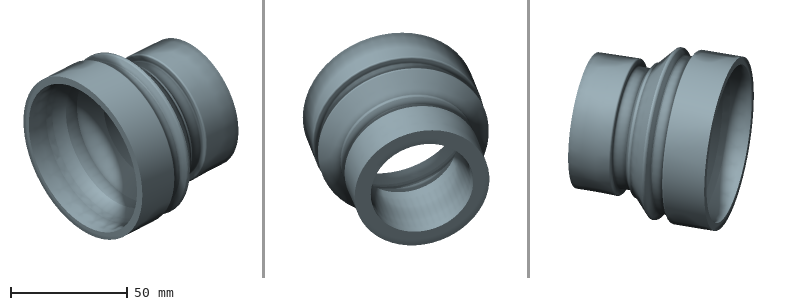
import cadquery as cq
import math

LENGTH = 63.5
WIDE_COLLAR_END = 19.05
WIDE_GROOVE_END = 24.7
RIDGE_END = 28.0
SMALL_RIDGE_START = 35.5
NARROW_GROOVE_START = 38.8
NARROW_COLLAR_START = LENGTH - WIDE_COLLAR_END

WIDE_COLLAR_RADIUS = 76.2 / 2
WIDE_GROOVE_RADIUS = 69.34 / 2
RIDGE_RADIUS = 75.44 / 2
SMALL_RIDGE_RADIUS = 59.56 / 2
NARROW_GROOVE_RADIUS = 53.34 / 2
NARROW_COLLAR_RADIUS = 60.1 / 2
NARROW_END_RADIUS = 59.56 / 2

FLANK_ANGLE = math.radians(55)
WIDE_FLANK_LENGTH = (RIDGE_RADIUS - WIDE_GROOVE_RADIUS) / math.tan(FLANK_ANGLE)
NARROW_FLANK_LENGTH = (SMALL_RIDGE_RADIUS - NARROW_GROOVE_RADIUS) / math.tan(FLANK_ANGLE)
RIDGE_START = WIDE_GROOVE_END + WIDE_FLANK_LENGTH
SMALL_RIDGE_END = NARROW_GROOVE_START - NARROW_FLANK_LENGTH

COLLAR_EDGE_ROUND = 0.75
GROOVE_ROOT_ROUND = 0.65
RIDGE_ROUND = 1.0

MOUTH_RADIUS = 69.34 / 2
MOUTH_END_RADIUS = 68.0 / 2
STEP_RADIUS = 61.37 / 2
BORE_RADIUS = 45.36 / 2
MOUTH_END = 11.1
STEP_START = 18.0
STEP_END = 24.4
BORE_START = 32.75
MOUTH_BLEND_ROUND = 8.0


def round_rims(body, radius, rims):
    """Round the circular edges given as (radius, station) pairs."""
    tolerance = 0.01

    def is_rim(edge):
        box = edge.BoundingBox()
        return any(
            abs(box.ymin - station) < tolerance
            and abs(box.ymax - station) < tolerance
            and abs(box.xmax - rim_radius) < tolerance
            for rim_radius, station in rims
        )

    edges = [edge for edge in body.edges("%CIRCLE").vals() if is_rim(edge)]
    return body.newObject(edges).fillet(radius)


def make_outer_body():
    """Solid of revolution with two grooved collars and two ridges between them."""
    body = (
        cq.Workplane("XY")
        .lineTo(WIDE_COLLAR_RADIUS, 0)
        .lineTo(WIDE_COLLAR_RADIUS, WIDE_COLLAR_END)
        .lineTo(WIDE_GROOVE_RADIUS, WIDE_COLLAR_END)
        .lineTo(WIDE_GROOVE_RADIUS, WIDE_GROOVE_END)
        .lineTo(RIDGE_RADIUS, RIDGE_START)
        .lineTo(RIDGE_RADIUS, RIDGE_END)
        .lineTo(SMALL_RIDGE_RADIUS, SMALL_RIDGE_START)
        .lineTo(SMALL_RIDGE_RADIUS, SMALL_RIDGE_END)
        .lineTo(NARROW_GROOVE_RADIUS, NARROW_GROOVE_START)
        .lineTo(NARROW_GROOVE_RADIUS, NARROW_COLLAR_START)
        .lineTo(NARROW_COLLAR_RADIUS, NARROW_COLLAR_START)
        .lineTo(NARROW_END_RADIUS, LENGTH)
        .lineTo(0, LENGTH)
        .close()
        .revolve(360, (0, 0, 0), (0, 1, 0))
    )
    collar_edges = [
        (WIDE_COLLAR_RADIUS, WIDE_COLLAR_END),
        (NARROW_COLLAR_RADIUS, NARROW_COLLAR_START),
    ]
    groove_roots = [
        (WIDE_GROOVE_RADIUS, WIDE_COLLAR_END),
        (WIDE_GROOVE_RADIUS, WIDE_GROOVE_END),
        (NARROW_GROOVE_RADIUS, NARROW_GROOVE_START),
        (NARROW_GROOVE_RADIUS, NARROW_COLLAR_START),
    ]
    ridge_edges = [
        (RIDGE_RADIUS, RIDGE_START),
        (SMALL_RIDGE_RADIUS, SMALL_RIDGE_END),
    ]
    body = round_rims(body, COLLAR_EDGE_ROUND, collar_edges)
    body = round_rims(body, GROOVE_ROOT_ROUND, groove_roots)
    return round_rims(body, RIDGE_ROUND, ridge_edges)


def make_bore():
    """Through bore: tapered mouth blending into a cone, a step, a second cone, a straight bore."""
    bore = (
        cq.Workplane("XY")
        .lineTo(MOUTH_RADIUS, 0)
        .lineTo(MOUTH_END_RADIUS, MOUTH_END)
        .lineTo(STEP_RADIUS, STEP_START)
        .lineTo(STEP_RADIUS, STEP_END)
        .lineTo(BORE_RADIUS, BORE_START)
        .lineTo(BORE_RADIUS, LENGTH)
        .lineTo(0, LENGTH)
        .close()
        .revolve(360, (0, 0, 0), (0, 1, 0))
    )
    return round_rims(bore, MOUTH_BLEND_ROUND, [(MOUTH_END_RADIUS, MOUTH_END)])


result = make_outer_body().cut(make_bore())